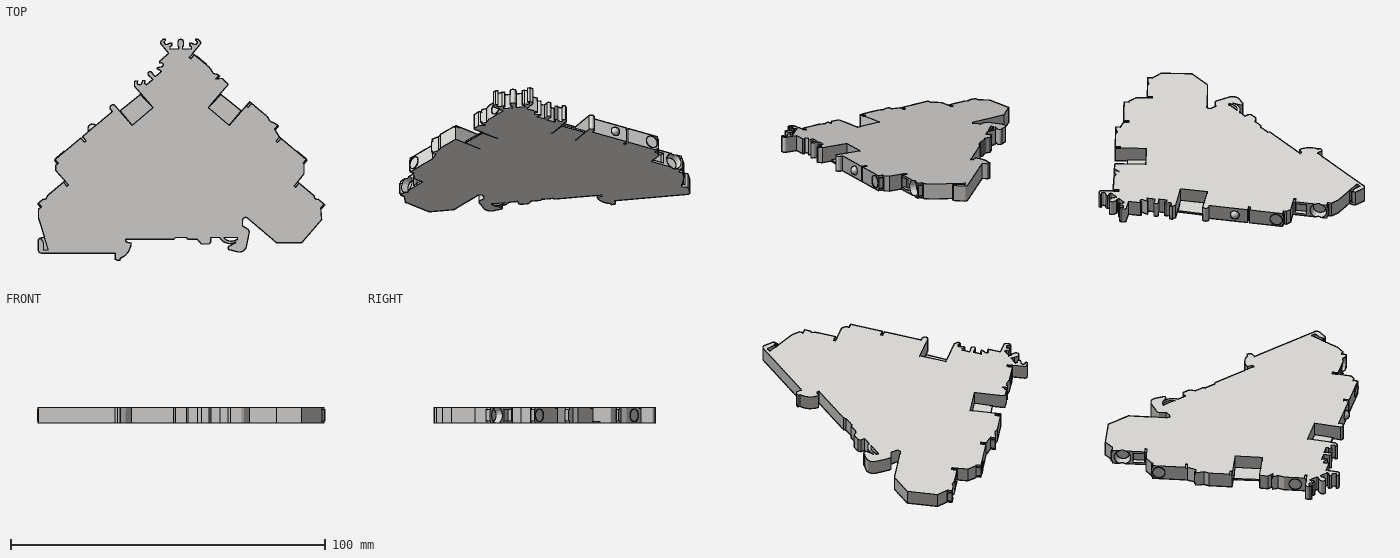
import cadquery as cq
import math

THICKNESS = 5.0
MID_Z = THICKNESS / 2
FLOOR = 0.55

FLANK_ANGLE = math.radians(40)
SLOPE = math.tan(FLANK_ANGLE)
DOWN = (math.cos(FLANK_ANGLE), -math.sin(FLANK_ANGLE))
OUT = (math.sin(FLANK_ANGLE), math.cos(FLANK_ANGLE))
RIGHT = "right"
LEFT = "left"

TOWER_LINE = 69.1
RAISED_LINE = 68.9
MIDDLE_LINE = 65.6
LOWER_LINE = 56.2

TOWER_START = 3.8
TOWER_TIP = 12.4
RAISED_START = 21.9
RAISED_TIP = 31.2
MIDDLE_START = 31.4
MIDDLE_TIP = 40.2
LOWER_START_RIGHT = 37.2
LOWER_START_LEFT = 36.8
LOWER_TIP_RIGHT = 45.9
LOWER_TIP_LEFT = 45.5

RECESS_TOP_IN = (8.8, 48.6)
RECESS_LOW_IN = (15.45, 43.0)
RECESS_LOW_OUT = (19.3, 47.6)
RECESS_TOP_OUT = (12.8, 52.8)

NIB_WIDTH = 0.4
NIB_DEPTH = 1.55
FACE_MARGIN = 0.7
MARGIN_TOP = THICKNESS - FACE_MARGIN

GROOVE_HEIGHT = 0.3
SLIT_WIDTH = 0.6
SLIT_DEPTH = 1.7
RAISED_GROOVE_WALL = 0.2
DOME_SLIT_X = 31.3

WIRE_POCKET_LENGTH = 3.75
WIRE_POCKET_DEPTH = 1.5
FUNNEL_X = 43.1
FUNNEL_RADIUS = 2.65
FUNNEL_DEPTH = 2.1
BORE_RADIUS = 2.0
DISC_HEIGHT = 0.2
TOWER_DISC_X = 6.6
MIDDLE_DISC_X = 38.4

DOME_CENTER = (-28.1, 41.95, MID_Z)
DOME_RADIUS = 1.5

RAIL_EDGE = 7.2
STEP_EDGE = 6.7
FOOT_EDGE = 2.3
LATCH_SLOT_FLOOR = 0.8


def on_flank(line, x):
    """Point of a terrace line at distance x from the axis, on the right side."""
    return (x, line - SLOPE * x)


def shifted(point, along, outward):
    """Move a right-side point down the flank and out of it."""
    return (point[0] + along * DOWN[0] + outward * OUT[0],
            point[1] + along * DOWN[1] + outward * OUT[1])


def on_left(points):
    """The same points on the left side of the axis."""
    return [(-x, y) for x, y in points]


def prism(points, bottom=0, top=THICKNESS):
    """Extrude a closed outline; a (through, end) pair of points draws an arc."""
    sketch = cq.Workplane("XY").workplane(offset=bottom).moveTo(*points[0])
    for point in points[1:]:
        if isinstance(point[0], tuple):
            sketch = sketch.threePointArc(*point)
        else:
            sketch = sketch.lineTo(*point)
    return sketch.close().extrude(top - bottom)


def placed(side, solid):
    """Keep a right-side solid, or mirror it to the left side."""
    return solid if side == RIGHT else solid.mirror("YZ")


def flank_box(side, corner, length, depth, bottom=0, top=THICKNESS):
    """Box running down the flank from a surface point and reaching inward."""
    outline = [
        corner, shifted(corner, length, 0),
        shifted(corner, length, -depth), shifted(corner, 0, -depth),
    ]
    return placed(side, prism(outline, bottom, top))


def flank_cone(side, center, start_radius, end_radius, height, sign):
    """Cone or cylinder square to the flank; sign +1 grows outward, -1 inward."""
    base = cq.Vector(center[0], center[1], MID_Z)
    axis = cq.Vector(sign * OUT[0], sign * OUT[1], 0)
    if start_radius == end_radius:
        solid = cq.Solid.makeCylinder(start_radius, height, base, axis)
    else:
        solid = cq.Solid.makeCone(start_radius, end_radius, height, base, axis)
    return placed(side, cq.Workplane(solid))


def terrace_end(line, tip_x):
    """Body corner beside a nib: the end of the flank and the foot of the nib."""
    tip = on_flank(line, tip_x)
    return [shifted(tip, -NIB_WIDTH, 0), shifted(tip, -NIB_WIDTH, -NIB_DEPTH)]


def right_edge():
    """Tower, raised and lower terraces, then the lower right corner."""
    return [
        on_flank(TOWER_LINE, TOWER_START),
        on_flank(TOWER_LINE, 9.2), (10.4, 59.5), (11.6, 59.2),
        *terrace_end(TOWER_LINE, TOWER_TIP),
        (12.5, 57.95), (13.2, 57.95), (14.7, 56.5), ((15.0, 56.0), (14.8, 55.6)),
        RECESS_TOP_IN, RECESS_LOW_IN,
        on_flank(RAISED_LINE, RAISED_START),
        on_flank(RAISED_LINE, 27.6), (28.5, 44.2), (29.9, 43.7),
        *terrace_end(RAISED_LINE, RAISED_TIP),
        on_flank(MIDDLE_LINE, MIDDLE_START),
        *terrace_end(MIDDLE_LINE, MIDDLE_TIP),
        (39.3, 30.7), (39.3, 27.6),
        on_flank(LOWER_LINE, LOWER_START_RIGHT),
        *terrace_end(LOWER_LINE, LOWER_TIP_RIGHT),
        (44.9, 13.0), (38.5, 5.6), (30.5, 5.6),
    ]


def lower_edge():
    """Hook slot beside the clip, clip arm, rail edge and foot, right to left."""
    return [
        (21.5, 13.25), ((20.4, 13.6), (19.7, 12.7)), (19.7, 11.0), (21.4, 10.0), ((21.75, 9.4), (21.75, 8.5)),
        (20.9, 4.4), ((20.0, 3.1), (18.3, 2.65)), (15.9, 3.3), ((15.1, 3.9), (15.5, 4.7)),
        (16.9, 5.4), ((17.7, 6.0), (18.0, RAIL_EDGE)),
        (9.6, RAIL_EDGE), (9.6, 5.85), (9.05, 5.2), (6.6, 5.2),
        (5.3, STEP_EDGE), (2.3, STEP_EDGE), (1.8, RAIL_EDGE),
        (-1.6, RAIL_EDGE), (-2.3, STEP_EDGE), (-17.5, STEP_EDGE), (-17.4, 5.9), (-15.7, 5.5),
        ((-16.6, 2.7), (-19.1, 0.7)), (-19.4, 0), (-20.1, 0), (-20.8, 0.4), (-20.8, FOOT_EDGE),
        (-44.15, FOOT_EDGE), ((-45.0, 2.6), (-45.3, 3.3)),
    ]


def left_edge():
    """Latch post, lower and middle terraces, and the latched tower side, upward."""
    lower_end = on_left(terrace_end(LOWER_LINE, LOWER_TIP_LEFT))
    middle_end = on_left(terrace_end(MIDDLE_LINE, MIDDLE_TIP))
    return [
        (-45.3, 6.6), ((-44.8, 7.0), (-43.3, 7.3)), (-45.2, 13.5), (-45.2, 16.4),
        *reversed(lower_end),
        *on_left([on_flank(LOWER_LINE, LOWER_START_LEFT)]),
        (-39.8, 28.6), (-39.8, 30.3),
        *reversed(middle_end),
        *on_left([on_flank(MIDDLE_LINE, 21.75)]),
        (-22.3, 48.0), ((-22.3, 49.2), (-21.0, 49.45)),
        *on_left([RECESS_LOW_IN, RECESS_TOP_IN]),
        (-14.7, 55.4), (-14.7, 56.8), ((-14.3, 57.1), (-13.6, 57.0)),
        (-13.8, 56.6), ((-13.1, 55.9), (-12.4, 56.4)),
        (-12.1, 57.3), (-11.3, 57.3), (-11.4, 56.3), (-10.9, 55.9),
        (-8.9, 57.6), (-10.2, 58.9), ((-10.2, 59.9), (-9.3, 60.0)),
        (-8.1, 58.5), (-6.1, 60.1), (-6.7, 60.6), (-7.1, 60.6), (-7.6, 61.2), (-6.8, 61.5),
        (-5.9, 61.7), ((-5.6, 62.2), (-5.9, 62.8)), (-6.7, 62.9), (-6.8, 63.3),
        *on_left([on_flank(TOWER_LINE, TOWER_START)]),
    ]


def tower_crown():
    """Centre peg and a pair of curled hooks on top of the tower."""
    seat = 67.3
    root = on_flank(TOWER_LINE, TOWER_START)[1]
    peg = prism([
        (-0.6, root), (-0.6, 67.9), (-0.9, 68.4), (-0.9, 69.6), ((0, 70.4), (0.9, 69.6)),
        (0.9, 68.4), (0.6, 67.9), (0.6, root),
    ])
    hook = prism([
        (0, root), (0, seat), (3.4, seat), (3.4, 68.0), (2.8, 68.3), (2.8, 69.1), (3.6, 69.1),
        (4.4, 68.7), ((5.1, 69.0), (5.2, 69.6)), (4.75, 70.0), (4.75, 70.4), (5.6, 70.4),
        (6.2, 69.7), ((6.4, 69.2), (6.1, 68.6)), (TOWER_START, root),
    ])
    return peg.union(hook).union(hook.mirror("YZ"))


def marker_floor(side):
    """Thin web that closes the bottom of a marker recess."""
    return placed(side, prism([RECESS_TOP_IN, RECESS_LOW_IN, RECESS_LOW_OUT, RECESS_TOP_OUT], 0, FLOOR))


def clip_spring():
    """Bowed strip that bridges the rail edge and the clip arm."""
    root = RAIL_EDGE + 0.2
    return prism([
        (13.7, root), (13.7, RAIL_EDGE), ((15.5, 6.2), (18.0, 6.8)),
        (17.8, 5.9), ((15.2, 5.4), (12.4, RAIL_EDGE)), (12.4, root),
    ])


def nib(side, line, tip_x):
    """Narrow rib at a terrace end, set back from both faces."""
    corner = shifted(on_flank(line, tip_x), -NIB_WIDTH, 0)
    return flank_box(side, corner, NIB_WIDTH, NIB_DEPTH, FACE_MARGIN, MARGIN_TOP)


def slit(side, corner):
    """Narrow cut square to the flank, through both faces."""
    return flank_box(side, corner, SLIT_WIDTH, SLIT_DEPTH)


def groove(side, corner):
    """Shallow version of the slit, open to the top face only."""
    return flank_box(side, corner, SLIT_WIDTH, SLIT_DEPTH, THICKNESS - GROOVE_HEIGHT)


def wire_pocket(side, start_x):
    """Blind rectangular pocket in the lower terrace, just below its groove."""
    corner = shifted(on_flank(LOWER_LINE, start_x), SLIT_WIDTH, 0)
    return flank_box(side, corner, WIRE_POCKET_LENGTH, WIRE_POCKET_DEPTH, FACE_MARGIN, MARGIN_TOP)


def funnel(side):
    """Conical screwdriver entry on the lower terrace."""
    center = on_flank(LOWER_LINE, FUNNEL_X)
    return flank_cone(side, center, FUNNEL_RADIUS, BORE_RADIUS, FUNNEL_DEPTH, -1)


def disc(side, line, x):
    """Shallow round pad, rooted below the flank."""
    root = shifted(on_flank(line, x), 0, -DISC_HEIGHT)
    return flank_cone(side, root, BORE_RADIUS, BORE_RADIUS, 2 * DISC_HEIGHT, 1)


def latch_slot():
    """Wedge-shaped relief between the latch post and the plate."""
    return prism(
        [(-43.3, 7.3), (-42.1, 3.4), (-43.6, 3.4), (-43.7, 5.2), ((-43.9, 6.0), (-44.4, 6.7)), (-44.4, 7.3)],
        LATCH_SLOT_FLOOR,
    )


result = prism(right_edge() + lower_edge() + left_edge())
result = result.union(tower_crown()).union(clip_spring())
result = result.union(cq.Workplane("XY").sphere(DOME_RADIUS).translate(DOME_CENTER))

for side in (RIGHT, LEFT):
    result = result.union(marker_floor(side))
    result = result.union(disc(side, MIDDLE_LINE, MIDDLE_DISC_X))
    result = result.union(nib(side, MIDDLE_LINE, MIDDLE_TIP))
    result = result.cut(funnel(side))

lower_ends = ((RIGHT, LOWER_START_RIGHT, LOWER_TIP_RIGHT), (LEFT, LOWER_START_LEFT, LOWER_TIP_LEFT))
for side, start_x, tip_x in lower_ends:
    result = result.union(nib(side, LOWER_LINE, tip_x))
    result = result.cut(wire_pocket(side, start_x))
    result = result.cut(groove(side, on_flank(LOWER_LINE, start_x)))

result = result.union(nib(RIGHT, TOWER_LINE, TOWER_TIP))
result = result.union(nib(RIGHT, RAISED_LINE, RAISED_TIP))
result = result.union(disc(RIGHT, TOWER_LINE, TOWER_DISC_X))

result = result.cut(groove(RIGHT, on_flank(TOWER_LINE, TOWER_START)))
result = result.cut(groove(RIGHT, shifted(on_flank(RAISED_LINE, RAISED_START), RAISED_GROOVE_WALL, 0)))
result = result.cut(groove(RIGHT, on_flank(MIDDLE_LINE, MIDDLE_START)))
result = result.cut(slit(LEFT, on_flank(MIDDLE_LINE, DOME_SLIT_X)))
result = result.cut(latch_slot())